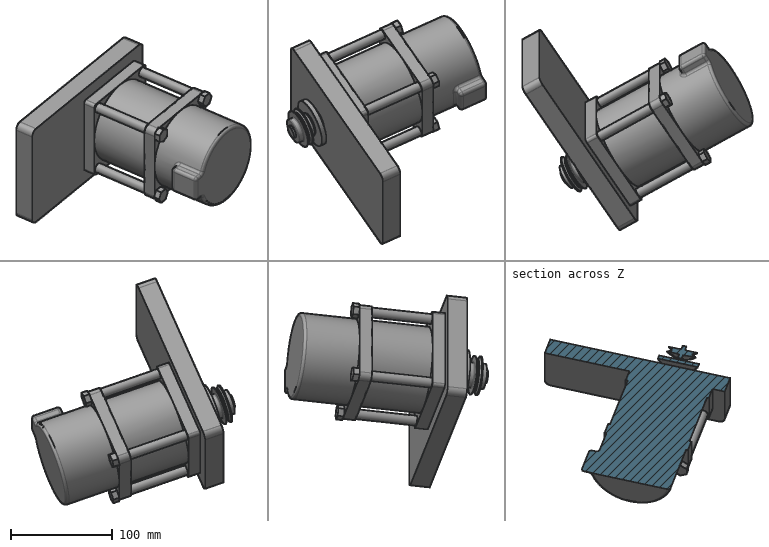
import math

import cadquery as cq


total_length = 193.8
hub_start = 2.3
hub_end = 20.5
washer_start = 21.7
washer_end = 26.7
plate_start = 31.4
plate_thickness = 19.8
flange_thickness = 12.6
rear_flange_start = 124.8
bolt_head_thickness = 6.2

plate_end = plate_start + plate_thickness
rear_flange_end = rear_flange_start + flange_thickness

plate_top_y = 55.6
plate_width = 185.7
plate_height = 114.3
plate_corner_radius = 6.4

motor_radius = 43.0
motor_rear_fillet = 3.0
flange_side = 2 * motor_radius
front_flange_corner_radius = 3.1
rear_flange_corner_radius = 6.2

rod_radius = 5.0
bolt_head_diameter = 15.0
rod_offset = motor_radius - rear_flange_corner_radius

box_start = 163.4
box_height = 28.0
box_reach = 51.2
box_fillet = 3.3

tip_radius = 6.5
shaft_radius = 11.5
washer_radius = 24.2

hub_radius = 12.6
hub_end_fillet = 0.5
sheave_radius = 19.4
sheave_width = 7.4
sheave_root_fillet = 0.5
rim_width = 1.2
groove_depth = 3.0
groove_floor_width = 1.2


def disc(start, end, radius):
    """Cylinder on the motor axis between two X stations."""
    return cq.Workplane("YZ", origin=(start, 0, 0)).circle(radius).extrude(end - start)


def rounded_plate(start, thickness, width, height, corner_radius, center_y=0):
    """Rectangular plate normal to X with rounded corners."""
    return (
        cq.Workplane("YZ", origin=(start, center_y, 0))
        .rect(width, height)
        .extrude(thickness)
        .edges("|X")
        .fillet(corner_radius)
    )


def motor_with_terminal_box():
    """Motor cylinder with the blended terminal box at its rear end."""
    motor = disc(plate_end, total_length, motor_radius)
    box = (
        cq.Workplane("XY")
        .box(total_length - box_start, box_reach, box_height, centered=(False, False, True))
        .translate((box_start, -box_reach, 0))
        .edges("|Y and <X")
        .fillet(box_fillet)
        .faces("<Y")
        .edges("not >X")
        .fillet(box_fillet)
    )
    seam_x = (box_start + total_length) / 2
    seam_z = box_height / 2
    seam_y = -math.sqrt(motor_radius**2 - seam_z**2)
    seam_edge = cq.selectors.NearestToPointSelector((seam_x, seam_y, seam_z))
    blended = motor.union(box).edges(seam_edge).fillet(box_fillet)
    return blended.faces(">X").edges().fillet(motor_rear_fillet)


def tie_rod(angle):
    """Tie rod with its hexagonal head, turned about the motor axis to one corner."""
    corner = (rod_offset, rod_offset)
    rod = (
        cq.Workplane("YZ", origin=(plate_end, 0, 0))
        .center(*corner)
        .circle(rod_radius)
        .extrude(rear_flange_end - plate_end)
    )
    head = (
        cq.Workplane("YZ", origin=(rear_flange_end, 0, 0))
        .center(*corner)
        .polygon(6, bolt_head_diameter)
        .extrude(bolt_head_thickness)
    )
    return rod.union(head).rotate((0, 0, 0), (1, 0, 0), angle)


def pulley():
    """Hub with a V-grooved, round-rimmed sheave in the middle, turned about the motor axis."""
    middle = (hub_start + hub_end) / 2
    sheave_start = middle - sheave_width / 2
    sheave_end = middle + sheave_width / 2
    floor_start = middle - groove_floor_width / 2
    floor_end = middle + groove_floor_width / 2
    floor_radius = sheave_radius - groove_depth
    rim_round = rim_width / 2
    rim_base = sheave_radius - rim_round
    hub = disc(hub_start, hub_end, hub_radius).edges("%CIRCLE").fillet(hub_end_fillet)
    sheave = (
        cq.Workplane("XY")
        .moveTo(sheave_start, 0)
        .lineTo(sheave_start, rim_base)
        .threePointArc((sheave_start + rim_round, sheave_radius), (sheave_start + rim_width, rim_base))
        .lineTo(floor_start, floor_radius)
        .lineTo(floor_end, floor_radius)
        .lineTo(sheave_end - rim_width, rim_base)
        .threePointArc((sheave_end - rim_round, sheave_radius), (sheave_end, rim_base))
        .lineTo(sheave_end, 0)
        .close()
        .revolve(360, (0, 0, 0), (1, 0, 0))
    )
    body = hub.union(sheave)
    for station in (sheave_start, sheave_end):
        root = cq.selectors.NearestToPointSelector((station, 0, 0))
        body = body.edges(root).fillet(sheave_root_fillet)
    return body


mounting_plate = rounded_plate(
    plate_start,
    plate_thickness,
    plate_width,
    plate_height,
    plate_corner_radius,
    center_y=plate_top_y - plate_width / 2,
)
front_flange = rounded_plate(
    plate_end, flange_thickness, flange_side, flange_side, front_flange_corner_radius
)
rear_flange = rounded_plate(
    rear_flange_start, flange_thickness, flange_side, flange_side, rear_flange_corner_radius
)

result = mounting_plate.union(motor_with_terminal_box()).union(front_flange).union(rear_flange)
for corner_angle in (0, 90, 180, 270):
    result = result.union(tie_rod(corner_angle))

result = (
    result.union(disc(hub_end, plate_start, shaft_radius))
    .union(disc(washer_start, washer_end, washer_radius))
    .union(pulley())
    .union(disc(0, hub_start, tip_radius))
)